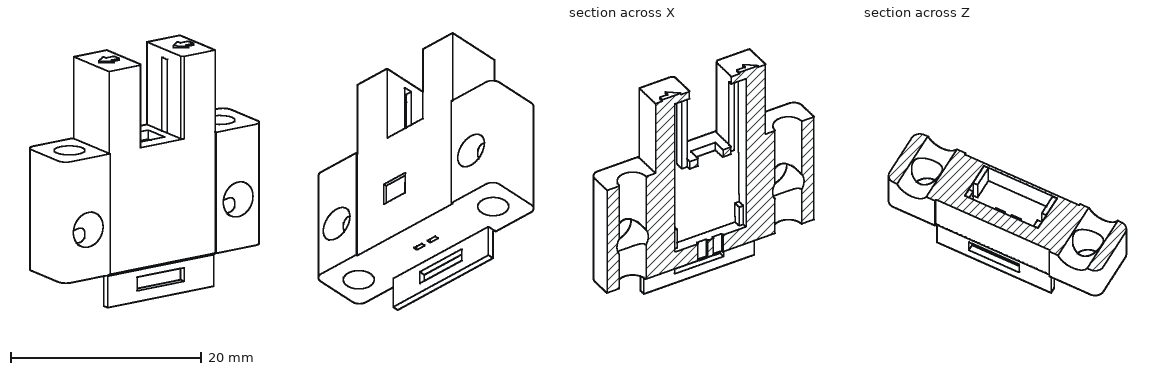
import cadquery as cq

ear_height = 13.3
arm_rise = 8.99
arrow_relief = 0.18
tab_drop = 3.72
arm_top = ear_height + arm_rise

body_thickness = 6.52
body_width = 13.6
fork_gap = 5.1
fork_floor = 13.23
arm_corner_chamfer = 0.25
half_body = body_thickness / 2
arm_inner = fork_gap / 2

ear_thickness = 6.9
overall_width = 25.5
ear_corner_radius = 1.0
hole_spacing = 19.18
vertical_hole_diameter = 3.25
cross_hole_diameter = 3.8
cross_hole_height = 5.45

front_wall = 0.37
arm_wall = 0.68
inner_walls_span = fork_gap + 2 * arm_wall
roof_thickness = 1.0
cavity_width = 8.7
cavity_floor = 2.23
ledge_depth = 0.52
ledge_height = 4.65
cavity_back_low = 1.3
cavity_back_high = 1.52

pocket_size = 3.05
window_width = 3.0
window_bottom = 4.82
window_height = 2.6
beam_slit_width = 0.97
floor_slot_width = 0.47
floor_bridge = 0.75

tab_thickness = 0.73
tab_outer_face = 3.0
tab_slot_width = 6.0
tab_slot_height = 1.5
tab_slot_top = -1.02

arrow_length = 2.3
arrow_head_length = 1.28
arrow_head_width = 2.02
arrow_stem_width = 0.97
arrow_spacing = 9.5
arrow_offset = 0.05


def box(x_range, y_range, z_range):
    """Box spanning the given (low, high) ranges."""
    spans = (x_range, y_range, z_range)
    size = [high - low for low, high in spans]
    corner = [low for low, high in spans]
    return cq.Workplane("XY").box(*size, centered=False).translate(tuple(corner))


def centred(width):
    """Range of the given width about zero."""
    return (-width / 2, width / 2)


def make_ears():
    """Rounded block across the full width; its two ends form the ears."""
    ears = cq.Workplane("XY").rect(ear_thickness, overall_width).extrude(ear_height)
    ears = ears.edges("|Z").fillet(ear_corner_radius)
    middle = box(centred(ear_thickness), centred(body_width), (0, ear_height))
    return ears.cut(middle)


def make_body():
    """Upright block with a fork gap; the back inner arm corners are chamfered."""
    body = box(centred(body_thickness), centred(body_width), (0, arm_top))
    gap = (
        cq.Workplane("XY", origin=(0, 0, fork_floor))
        .moveTo(-half_body, -arm_inner)
        .lineTo(half_body - arm_corner_chamfer, -arm_inner)
        .lineTo(half_body, -arm_inner - arm_corner_chamfer)
        .lineTo(half_body, arm_inner + arm_corner_chamfer)
        .lineTo(half_body - arm_corner_chamfer, arm_inner)
        .lineTo(-half_body, arm_inner)
        .close()
        .extrude(arm_top - fork_floor)
    )
    return body.cut(gap)


def make_cavity():
    """Hollow reaching up both arms, with a sloping back wall and a notched ledge at each end."""
    cavity_top = arm_top - roof_thickness
    cavity_front = -half_body + front_wall
    cavity = (
        cq.Workplane("XZ", origin=(0, cavity_width / 2, 0))
        .moveTo(cavity_front, cavity_floor)
        .lineTo(cavity_back_low, cavity_floor)
        .lineTo(cavity_back_high, fork_floor)
        .lineTo(cavity_back_high, cavity_top)
        .lineTo(cavity_front, cavity_top)
        .close()
        .extrude(cavity_width)
    )
    gap_and_walls = box(
        centred(body_thickness),
        centred(inner_walls_span),
        (fork_floor - roof_thickness, arm_top),
    )
    ledge_heights = (cavity_floor, ledge_height)
    ledges = box(centred(body_thickness), centred(cavity_width), ledge_heights)
    between_ledges = box(centred(body_thickness), centred(cavity_width - 2 * ledge_depth), ledge_heights)
    notches = box(centred(beam_slit_width), centred(cavity_width), ledge_heights)
    ledges = ledges.cut(between_ledges).cut(notches)
    return cavity.cut(gap_and_walls).cut(ledges)


def make_openings():
    """Pocket in the fork floor, front window, beam slits and floor slots."""
    pocket = box(centred(pocket_size), centred(pocket_size), (fork_floor - roof_thickness, fork_floor))
    window = box(
        (-half_body, -half_body + front_wall),
        (0, window_width),
        (window_bottom, window_bottom + window_height),
    )
    slits = box(
        centred(beam_slit_width),
        centred(inner_walls_span),
        (fork_floor - roof_thickness, arm_top - roof_thickness),
    )
    between_slits = box(
        centred(beam_slit_width),
        centred(fork_gap),
        (fork_floor - roof_thickness, fork_floor),
    )
    slits = slits.cut(between_slits)
    slots = box(centred(floor_slot_width), centred(pocket_size), (0, cavity_floor))
    bridge = box(centred(floor_slot_width), centred(floor_bridge), (0, cavity_floor))
    return pocket.union(window).union(slits).union(slots.cut(bridge))


def make_tab():
    """Slotted plate below the body, with a sloped root on its outer face."""
    root = half_body - tab_outer_face
    tab = (
        cq.Workplane("XZ", origin=(0, body_width / 2, 0))
        .moveTo(tab_outer_face - tab_thickness, 0)
        .lineTo(half_body, 0)
        .lineTo(tab_outer_face, -root)
        .lineTo(tab_outer_face, -tab_drop)
        .lineTo(tab_outer_face - tab_thickness, -tab_drop)
        .close()
        .extrude(body_width)
    )
    slot = box((0, half_body), centred(tab_slot_width), (tab_slot_top - tab_slot_height, tab_slot_top))
    return tab.cut(slot)


def make_arrow(y_centre):
    """Raised arrow pointing towards -Y."""
    tip = -arrow_length / 2
    neck = tip + arrow_head_length
    tail = arrow_length / 2
    outline = [
        (0, tip),
        (arrow_head_width / 2, neck),
        (arrow_stem_width / 2, neck),
        (arrow_stem_width / 2, tail),
        (-arrow_stem_width / 2, tail),
        (-arrow_stem_width / 2, neck),
        (-arrow_head_width / 2, neck),
    ]
    plane = cq.Workplane("XY", origin=(0, y_centre, arm_top))
    return plane.polyline(outline).close().extrude(arrow_relief)


def make_ear_holes(y_centre):
    """Crossing vertical and front-to-back through holes of one ear."""
    vertical = (
        cq.Workplane("XY", origin=(0, y_centre, 0))
        .circle(vertical_hole_diameter / 2)
        .extrude(ear_height)
    )
    cross = (
        cq.Workplane("YZ", origin=(-ear_thickness / 2, y_centre, cross_hole_height))
        .circle(cross_hole_diameter / 2)
        .extrude(ear_thickness)
    )
    return vertical.union(cross)


result = make_body().cut(make_cavity()).cut(make_openings())
result = result.union(make_ears()).union(make_tab())
for side in (-1, 1):
    result = result.cut(make_ear_holes(side * hole_spacing / 2))
    result = result.union(make_arrow(arrow_offset + side * arrow_spacing / 2))